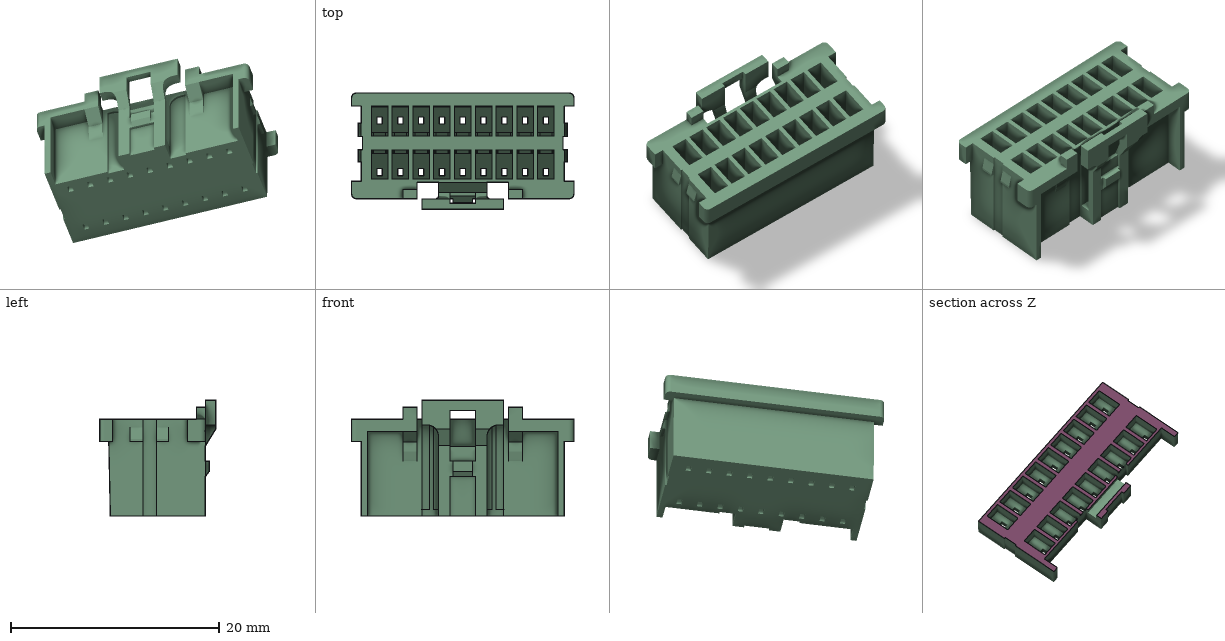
import cadquery as cq


collar_length = 21.4
collar_back = 10.19
collar_top = 9.3
collar_bottom = 7.17
collar_corner_radius = 0.5
ear_front_depth = 1.71
ear_back_start = 8.92
body_length = 19.55
body_back_bottom = 9.15
body_back_top = 9.3

recess_length = 18.36
recess_depth = 1.58
recess_top = 8.15

latch_gap_width = 8.75
post_width = 1.4
post_depth = 0.88
post_top = 10.49
gusset_depth = 0.2
gusset_face_top = 7.1
gusset_face_bottom = 6.18
gusset_bottom = 5.29

end_groove_start = 4.73
end_groove_end = 6.0
end_groove_depth = 0.13
bump_start = 3.55
bump_end = 7.28
bump_height = 0.28
bump_top = 8.5
bump_edge_top = 7.38

pocket_count = 9
pocket_row_span = 15.99
pocket_pitch = pocket_row_span / (pocket_count - 1)
pocket_width = 1.58
pocket_floor = 0.65
front_pocket_start = 1.88
front_pocket_end = 4.69
back_pocket_start = 6.05
back_pocket_end = 8.9
back_pocket_draft = 0.06
ledge_depth = 0.35
ledge_width = 1.18
ledge_top = 3.42
ledge_slope_bottom = 2.15
pin_hole_width = 0.5
pin_hole_length = 0.66
front_pin_y = 2.57
back_pin_y = 7.53

head_width = 7.85
head_projection = 1.0
head_top = 11.15
head_slope_top = 8.39
head_slope_bottom = 6.76
arm_width = 4.67
arm_thickness = 0.6
arm_back_slope_top = 8.3
hinge_height = 1.5
wing_arc_top = 8.75
wing_arc_radius = 1.11
side_channel_depth = 1.8
slot_width = 2.45
slot_bottom = 6.7
window_top = 10.15
head_notch_depth = 0.4
panel_recess = 0.25
catch_width = 1.9
catch_projection = 0.36
catch_top = 5.29
catch_face_bottom = 4.3
catch_bottom = 3.8


def block(x0, x1, y0, y1, z0, z1):
    return cq.Workplane("XY").box(x1 - x0, y1 - y0, z1 - z0, centered=False).translate((x0, y0, z0))


def centred_block(width, y0, y1, z0, z1):
    return block(-width / 2, width / 2, y0, y1, z0, z1)


def side_profile(points, x0, x1):
    """Extrude a closed (Y, Z) outline from x0 to x1."""
    return cq.Workplane("YZ", origin=(x0, 0, 0)).polyline(points).close().extrude(x1 - x0)


def both_sides(half):
    """Join a solid with its mirror image across X = 0."""
    return half.union(half.mirror("YZ"))


def make_housing():
    body = side_profile(
        [
            (0, 0),
            (body_back_bottom, 0),
            (body_back_top, collar_bottom),
            (body_back_top, collar_top),
            (0, collar_top),
        ],
        -body_length / 2,
        body_length / 2,
    )
    collar = centred_block(collar_length, 0, collar_back, collar_bottom, collar_top)
    collar = collar.edges("|Z").fillet(collar_corner_radius)
    between_ears = block(
        body_length / 2, collar_length / 2, ear_front_depth, ear_back_start, collar_bottom, collar_top
    )
    housing = body.union(collar).cut(both_sides(between_ears))
    housing = housing.cut(centred_block(recess_length, 0, recess_depth, 0, recess_top))
    return housing.cut(centred_block(latch_gap_width, 0, recess_depth, 0, collar_top))


def make_post():
    """Guard post on the collar with the gusset below it."""
    inner = latch_gap_width / 2
    outer = inner + post_width
    gusset_front = recess_depth - gusset_depth
    gusset = side_profile(
        [
            (0, recess_top),
            (gusset_front, gusset_face_top),
            (gusset_front, gusset_face_bottom),
            (recess_depth, gusset_bottom),
            (recess_depth, recess_top),
        ],
        inner,
        outer,
    )
    return block(inner, outer, 0, post_depth, recess_top, post_top).union(gusset)


def make_end_bump():
    wall = body_length / 2
    profile = [
        (wall - end_groove_depth, collar_bottom),
        (wall + bump_height, collar_bottom),
        (wall + bump_height, bump_edge_top),
        (wall, bump_top),
        (wall - end_groove_depth, bump_top),
    ]
    bump = cq.Workplane("XZ", origin=(0, bump_start, 0)).polyline(profile).close()
    return bump.extrude(bump_start - bump_end)


def make_end_groove():
    wall = body_length / 2
    return block(
        wall - end_groove_depth, wall + bump_height, end_groove_start, end_groove_end, 0, collar_top
    )


def make_pocket(start, end, end_draft, ledge_wall, pin_y):
    """Pocket cutter: a ledge stands on the ledge_wall side, its two corners sloping down."""
    direction = 1 if ledge_wall == start else -1
    ledge_face = ledge_wall + direction * ledge_depth
    pocket = side_profile(
        [(start, pocket_floor), (end - end_draft, pocket_floor), (end, collar_top), (start, collar_top)],
        -pocket_width / 2,
        pocket_width / 2,
    )
    sloping_ledge = side_profile(
        [
            (ledge_wall, pocket_floor),
            (ledge_face, pocket_floor),
            (ledge_face, ledge_slope_bottom),
            (ledge_wall, ledge_top),
        ],
        -pocket_width / 2,
        pocket_width / 2,
    )
    y0, y1 = sorted((ledge_wall, ledge_face))
    flat_ledge = centred_block(ledge_width, y0, y1, pocket_floor, ledge_top)
    pin_hole = centred_block(
        pin_hole_width, pin_y - pin_hole_length / 2, pin_y + pin_hole_length / 2, 0, pocket_floor
    )
    return pocket.cut(sloping_ledge).cut(flat_ledge).union(pin_hole)


def make_latch():
    """Arm on a hinge at the bottom, leaning forward into the head; still at full head width."""
    latch = side_profile(
        [
            (0, 0),
            (0, head_slope_bottom),
            (-head_projection, head_slope_top),
            (-head_projection, head_top),
            (0, head_top),
            (0, arm_back_slope_top),
            (arm_thickness, slot_bottom),
            (arm_thickness, hinge_height),
            (side_channel_depth, hinge_height),
            (side_channel_depth, 0),
        ],
        -head_width / 2,
        head_width / 2,
    )
    latch = latch.cut(centred_block(slot_width, -head_projection, arm_thickness, slot_bottom, window_top))
    latch = latch.cut(centred_block(slot_width, -head_notch_depth, arm_thickness, window_top, head_top))
    latch = latch.cut(centred_block(slot_width, 0, panel_recess, catch_top, slot_bottom))
    latch = latch.cut(centred_block(slot_width, 0, panel_recess, 0, catch_bottom))
    catch = side_profile(
        [
            (0, catch_bottom),
            (-catch_projection, catch_face_bottom),
            (-catch_projection, catch_top),
            (0, catch_top),
        ],
        -catch_width / 2,
        catch_width / 2,
    )
    return latch.union(catch)


def make_side_channel():
    """Channel that narrows the latch to its arm; the rounded top shapes the head wings."""
    inner = arm_width / 2
    outer = head_width / 2
    outline = (
        cq.Workplane("XZ", origin=(0, side_channel_depth, 0))
        .moveTo(inner, 0)
        .lineTo(inner, wing_arc_top - wing_arc_radius)
        .radiusArc((inner + wing_arc_radius, wing_arc_top), wing_arc_radius)
        .lineTo(outer, wing_arc_top)
        .lineTo(outer, 0)
        .close()
    )
    return outline.extrude(side_channel_depth + head_projection)


housing = make_housing()
housing = housing.union(both_sides(make_post()))
housing = housing.union(both_sides(make_end_bump()))
housing = housing.cut(both_sides(make_end_groove()))

front_pocket = make_pocket(front_pocket_start, front_pocket_end, 0, front_pocket_end, front_pin_y)
back_pocket = make_pocket(
    back_pocket_start, back_pocket_end, back_pocket_draft, back_pocket_start, back_pin_y
)
for index in range(pocket_count):
    pocket_x = (index - (pocket_count - 1) / 2) * pocket_pitch
    for pocket in (front_pocket, back_pocket):
        housing = housing.cut(pocket.translate((pocket_x, 0, 0)))

result = housing.union(make_latch()).cut(both_sides(make_side_channel()))